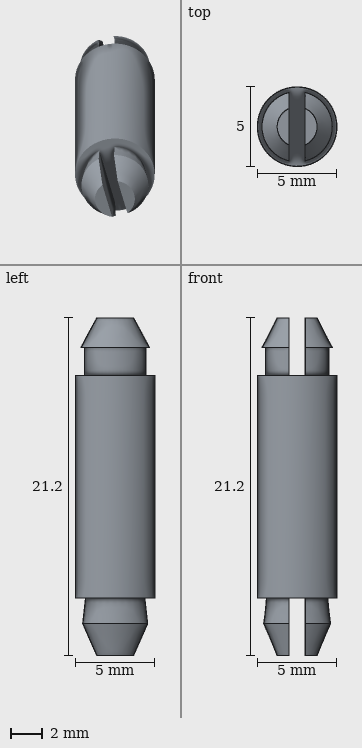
import cadquery as cq

total_length = 21.2
body_diameter = 5.0
body_length = 14.0
end_length = (total_length - body_length) / 2
slot_width = 1.0

tip_radius = 1.25

neck_radius = 2.0
neck_length = 1.74
upper_barb_radius = 2.2

flare_root_radius = 1.93
flare_length = 1.6
lower_barb_radius = 2.1

body_top = body_length / 2
body_bottom = -body_top
upper_tip = total_length / 2
lower_tip = -upper_tip
upper_barb_base = body_top + neck_length
lower_barb_base = body_bottom - flare_length


def turned_solid():
    """Revolve the half profile of the body and both snap-in ends about Z."""
    body_radius = body_diameter / 2
    profile = [
        (0, lower_tip),
        (tip_radius, lower_tip),
        (lower_barb_radius, lower_barb_base),
        (flare_root_radius, body_bottom),
        (body_radius, body_bottom),
        (body_radius, body_top),
        (neck_radius, body_top),
        (neck_radius, upper_barb_base),
        (upper_barb_radius, upper_barb_base),
        (tip_radius, upper_tip),
        (0, upper_tip),
    ]
    return cq.Workplane("XZ").polyline(profile).close().revolve(360, (0, 0, 0), (0, 1, 0))


def end_slot(center_z):
    """Cutter that splits one end into two prongs, down to the body face."""
    return cq.Workplane("XY").box(slot_width, body_diameter, end_length).translate((0, 0, center_z))


slot_offset = (body_length + end_length) / 2
result = turned_solid()
for side in (1, -1):
    result = result.cut(end_slot(side * slot_offset))